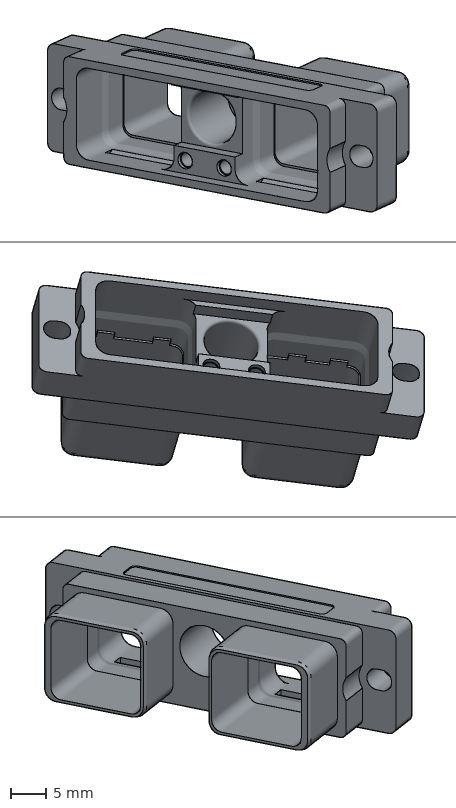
import cadquery as cq
import math


flange_front = 4.0
flange_rear = 9.0
body_rear = 14.1
tower_rear = 22.99

flange_width = 55.41
body_width = 44.8
front_height = 15.93
rear_height = 15.2
shell_radius = 1.0
flange_radius = 1.2

tower_width = 16.0
tower_height = 13.5
tower_center_x = 13.0
tower_radius = 2.0
rim_length = 0.65
rim_inset = 0.2

slot_center_x = 25.06
slot_width = 3.9
slot_height = 3.2
groove_radius = 3.2

pocket_center_x = 12.7
corner_center_x = 5.5
pocket_half_width = 7.58
pocket_half_height = 6.79
pocket_radius = pocket_half_width - corner_center_x
taper_inset = 0.33
taper_front = 6.75
taper_rear = 8.0
lip_front = 11.6
window_half_width = 7.08
window_half_height = 6.12
window_radius = window_half_width - corner_center_x
mouth_depth = 2.0

latch_front = 4.4
latch_rear = 6.2
latch_depth = 0.95

rib_width = 2.5
rib_length = 1.0
rib_centers_x = (-16.75, -8.7, 10.75, 16.75)

recess_rear = 3.9
recess_bottom = -2.93
recess_top = 5.95
bore_center_z = 1.51
bore_diameter = 7.8
bore_rounding = 0.4
pin_center_x = 3.27
pin_center_z = -4.86
pin_diameter = 2.1
pin_entry_diameter = 2.4
pin_entry_depth = 0.6
pin_depth = 3.0

panel_width = 32.1
panel_front = 4.7
panel_rear = 8.25
panel_radius = 0.8
panel_depth = 0.2

sides = (-1, 1)


def plane_at(y):
    """XZ plane at depth y whose extrusions run toward +Y."""
    return cq.Plane(origin=(0, y, 0), xDir=(-1, 0, 0), normal=(0, 1, 0))


def block(x, z, width, height, front, rear):
    """Rectangular block centred on (x, z), from front to rear."""
    return cq.Workplane(plane_at(front)).center(-x, z).rect(width, height).extrude(rear - front)


def rounded_block(x, width, height, radius, front, rear):
    """Block at mid height with its four lengthwise edges rounded."""
    return block(x, 0, width, height, front, rear).edges("|Y").fillet(radius)


def cylinder(x, z, diameter, front, rear):
    return cq.Workplane(plane_at(front)).center(-x, z).circle(diameter / 2).extrude(rear - front)


def center_bore():
    """Cutter for the through bore with a rounded entry."""
    radius = bore_diameter / 2
    entry_radius = radius + bore_rounding
    middle = bore_rounding * (1 - math.sqrt(0.5))
    return (
        cq.Workplane("XY")
        .moveTo(0, recess_rear)
        .lineTo(entry_radius, recess_rear)
        .threePointArc((radius + middle, recess_rear + middle), (radius, recess_rear + bore_rounding))
        .lineTo(radius, body_rear)
        .lineTo(0, body_rear)
        .close()
        .revolve(360, (0, 0, 0), (0, 1, 0))
        .translate((0, 0, bore_center_z))
    )


def pin_hole(x):
    """Cutter for a blind counterbored hole."""
    hole = cylinder(x, pin_center_z, pin_diameter, mouth_depth, mouth_depth + pin_depth)
    return hole.union(
        cylinder(x, pin_center_z, pin_entry_diameter, mouth_depth, mouth_depth + pin_entry_depth)
    )


def tower(x):
    """Rounded tower whose rim tapers slightly inward."""
    body = rounded_block(x, tower_width, tower_height, tower_radius, body_rear, tower_rear)
    return body.faces(">Y").chamfer(rim_length, rim_inset)


def outer_shell():
    shell = rounded_block(0, body_width, front_height, shell_radius, 0, flange_rear)
    flange = rounded_block(0, flange_width, front_height, flange_radius, flange_front, flange_rear)
    shell = shell.union(flange)
    shell = shell.union(rounded_block(0, body_width, rear_height, shell_radius, flange_rear, body_rear))
    for side in sides:
        shell = shell.union(tower(side * tower_center_x))
    return shell


def pocket(x):
    """Cutter for a pocket: straight entry, all-round taper, then a window through the tower."""
    width = 2 * pocket_half_width
    height = 2 * pocket_half_height
    narrow_width = width - 2 * taper_inset
    narrow_height = height - 2 * taper_inset
    narrow_radius = pocket_radius - taper_inset
    window_width = 2 * window_half_width
    window_height = 2 * window_half_height
    entry = rounded_block(x, width, height, pocket_radius, 0, taper_rear)
    entry = entry.faces(">Y").chamfer(taper_rear - taper_front, taper_inset)
    middle = rounded_block(x, narrow_width, narrow_height, narrow_radius, taper_front, lip_front)
    window = rounded_block(x, window_width, window_height, window_radius, taper_rear, tower_rear)
    return entry.union(middle).union(window)


def latch_groove(x):
    """Cutter for the wedge-shaped groove in a pocket floor."""
    floor = -pocket_half_height
    return (
        cq.Workplane("YZ", origin=(x, 0, 0))
        .moveTo(latch_front, floor)
        .lineTo(latch_front, floor - latch_depth)
        .lineTo(latch_rear, floor)
        .close()
        .extrude(corner_center_x, both=True)
    )


def coding_rib(x):
    """Rib filling the step between the pocket ceiling and the window."""
    z = (pocket_half_height - taper_inset + window_half_height) / 2
    height = pocket_half_height - taper_inset - window_half_height
    return block(x, z, rib_width, height, lip_front - rib_length, lip_front)


def mouth():
    """Cutter for the shallow opening in front of both pockets and the centre block."""
    width = 2 * (pocket_center_x + pocket_half_width)
    return rounded_block(0, width, 2 * pocket_half_height, pocket_radius, 0, mouth_depth)


def center_recess():
    """Cutter that sets the bore face back between the two pockets."""
    z = (recess_top + recess_bottom) / 2
    return block(0, z, 2 * pocket_center_x, recess_top - recess_bottom, 0, recess_rear)


def mounting_slot(x):
    return (
        cq.Workplane(plane_at(flange_front)).center(-x, 0)
        .slot2D(slot_width, slot_height).extrude(flange_rear - flange_front)
    )


def marking_panel():
    panel = cq.Workplane("XY").box(panel_width, panel_rear - panel_front, 2 * panel_depth)
    panel = panel.edges("|Z").fillet(panel_radius)
    return panel.translate((0, (panel_front + panel_rear) / 2, front_height / 2))


result = outer_shell().cut(mouth()).cut(center_recess())
for side in sides:
    result = result.cut(pocket(side * pocket_center_x))
    result = result.cut(latch_groove(side * pocket_center_x))
    result = result.cut(mounting_slot(side * slot_center_x))
    result = result.cut(cylinder(side * slot_center_x, 0, 2 * groove_radius, 0, flange_front))
    result = result.cut(cylinder(side * slot_center_x, 0, 2 * groove_radius, flange_rear, body_rear))
    result = result.cut(pin_hole(side * pin_center_x))
result = result.cut(center_bore())
for rib_x in rib_centers_x:
    result = result.union(coding_rib(rib_x))
result = result.cut(marking_panel())